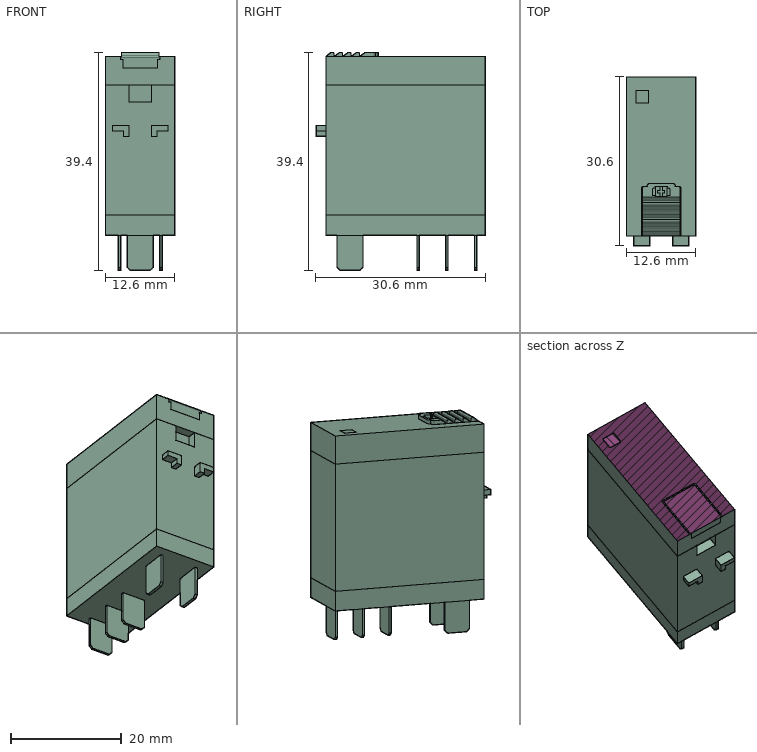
import cadquery as cq
import math


CASE_WIDTH = 12.6
CASE_DEPTH = 28.85
CASE_HEIGHT = 32.43
BASE_HEIGHT = 3.65
CAP_HEIGHT = 5.2
CAP_BOTTOM = CASE_HEIGHT - CAP_HEIGHT

OVERALL_DEPTH = 30.6
POCKET_WIDTH = 4.1
POCKET_HEIGHT = 3.08
POCKET_DEPTH = 1.75
TAB_TOP = 19.92
TAB_WIDTH = 2.95
TAB_HEIGHT = 1.97
TAB_THICKNESS = 1.0
TAB_LENGTH = OVERALL_DEPTH - CASE_DEPTH

INDICATOR_SIZE = 2.25
INDICATOR_X = -3.45
INDICATOR_Y = 25.25
INDICATOR_DEPTH = 0.55

RAIL_WIDTH = 7.18
RAIL_THICKNESS = 0.55
RAIL_BOTTOM = CASE_HEIGHT - RAIL_THICKNESS
RAIL_ROUND = 0.25
RAIL_DEPTH = 8.95
FLAP_WIDTH = 6.3
FLAP_HEIGHT = 1.55
GRIP_WIDTH = 6.85
GRIP_HEIGHT = 0.7
GRIP_TOP = CASE_HEIGHT + GRIP_HEIGHT
GRIP_CORNER_ROUND = 0.28
TONGUE_ROOT_WIDTH = 5.2
TONGUE_TIP_WIDTH = 4.9
TONGUE_LENGTH = 0.55
TONGUE_CORNER_ROUND = 0.4
SLIDER_DEPTH = RAIL_DEPTH + TONGUE_LENGTH
FRONT_ROUND = 0.4

RIB_COUNT = 4
RIB_PITCH = 1.55
RIB_SLOPE_TOP = 0.9
RIB_BACK = 1.45
RIB_SLOPE_ANGLE = 38
RIB_BACK_ROUND = 0.25
RIB_CREST_ROUND = 0.2
VALLEY_ROUND = 0.15

PAD_DEPTH = 0.65
PAD_FRONT = 7.18
PAD_LENGTH = 1.8
PAD_WIDTH = 2.15
WELL_DEPTH = 0.95
WELL_SPAN = 3.25
WELL_FRONT = 7.38
WELL_LENGTH = 1.35
WELL_CORNER_ROUND = 0.4
CROSS_Y = 8.05
CROSS_SPAN = 1.25
CROSS_ARM = 0.4

TERMINAL_LENGTH = 6.3
TERMINAL_CHAMFER = 0.55
COIL_WIDTH = 4.75
COIL_THICKNESS = 0.5
COIL_X = 3.75
COIL_Y = 4.35
CONTACT_WIDTH = 4.75
CONTACT_THICKNESS = 0.45
CONTACT_COUNT = 3
CONTACT_PITCH = 5.2
LAST_CONTACT_INSET = 1.75
LAST_CONTACT_Y = CASE_DEPTH - LAST_CONTACT_INSET


def block(width, depth, height, y_front, z_bottom, x_centre=0.0):
    """Box centred on x_centre, with its front and bottom faces at the given places."""
    centred = (True, False, False)
    return cq.Workplane("XY").box(width, depth, height, centered=centred).translate(
        (x_centre, y_front, z_bottom)
    )


def make_base():
    return block(CASE_WIDTH, CASE_DEPTH, BASE_HEIGHT, 0, 0)


def hook_tab(side):
    """L-shaped tab on the housing front; side is -1 or 1 along X."""
    inner = POCKET_WIDTH / 2
    outer = inner + TAB_WIDTH
    leg = inner + TAB_THICKNESS
    arm_bottom = TAB_TOP - TAB_THICKNESS
    tab_bottom = TAB_TOP - TAB_HEIGHT
    outline = [
        (inner, TAB_TOP),
        (outer, TAB_TOP),
        (outer, arm_bottom),
        (leg, arm_bottom),
        (leg, tab_bottom),
        (inner, tab_bottom),
    ]
    points = [(side * x, z) for x, z in outline]
    return cq.Workplane("XZ").polyline(points).close().extrude(TAB_LENGTH)


def make_housing():
    housing = block(CASE_WIDTH, CASE_DEPTH, CAP_BOTTOM - BASE_HEIGHT, 0, BASE_HEIGHT)
    pocket = block(POCKET_WIDTH, POCKET_DEPTH, POCKET_HEIGHT, 0, CAP_BOTTOM - POCKET_HEIGHT)
    housing = housing.cut(pocket)
    for side in (-1, 1):
        housing = housing.union(hook_tab(side))
    return housing


def make_indicator():
    return block(
        INDICATOR_SIZE,
        INDICATOR_SIZE,
        INDICATOR_DEPTH,
        INDICATOR_Y - INDICATOR_SIZE / 2,
        CASE_HEIGHT - INDICATOR_DEPTH,
        INDICATOR_X,
    )


def rail_block():
    rail = block(RAIL_WIDTH, RAIL_DEPTH, RAIL_THICKNESS, 0, RAIL_BOTTOM)
    return rail.edges("|Z and >Y").fillet(GRIP_CORNER_ROUND)


def flap_block():
    return block(FLAP_WIDTH, RAIL_THICKNESS, FLAP_HEIGHT, 0, RAIL_BOTTOM - FLAP_HEIGHT)


def make_cap():
    cap = block(CASE_WIDTH, CASE_DEPTH, CAP_HEIGHT, 0, CAP_BOTTOM)
    for seat in (rail_block(), flap_block(), make_indicator()):
        cap = cap.cut(seat)
    return cap


def grip_plate():
    """Plain grip: a plate with rounded back corners and a narrower, tapered tongue behind it."""
    plate = block(GRIP_WIDTH, RAIL_DEPTH, GRIP_HEIGHT, 0, CASE_HEIGHT)
    plate = plate.edges("|Z and >Y").fillet(GRIP_CORNER_ROUND)
    tongue = (
        cq.Workplane("XY", origin=(0, 0, CASE_HEIGHT))
        .moveTo(-TONGUE_ROOT_WIDTH / 2, RAIL_DEPTH)
        .lineTo(-TONGUE_TIP_WIDTH / 2, SLIDER_DEPTH)
        .lineTo(TONGUE_TIP_WIDTH / 2, SLIDER_DEPTH)
        .lineTo(TONGUE_ROOT_WIDTH / 2, RAIL_DEPTH)
        .close()
        .extrude(GRIP_HEIGHT)
        .edges("|Z and >Y")
        .fillet(TONGUE_CORNER_ROUND)
    )
    return plate.union(tongue)


def slope_cutter(y_back, run):
    """Wedge that removes material above a rib slope, from its top at y_back forward by run."""
    drop = run * math.tan(math.radians(RIB_SLOPE_ANGLE))
    return (
        cq.Workplane("YZ", origin=(-RAIL_WIDTH / 2, 0, 0))
        .moveTo(y_back, GRIP_TOP)
        .lineTo(y_back - run, GRIP_TOP)
        .lineTo(y_back - run, GRIP_TOP - drop)
        .close()
        .extrude(RAIL_WIDTH)
    )


def round_edge(bar, y, z, radius):
    """Rounds the edge of the bar that runs along X at the given place."""
    return bar.edges(cq.NearestToPointSelector((0, y, z))).fillet(radius)


def ribbed_bar():
    """Bar across the full rail width that carries the side profile of the rail and its ribs."""
    bar = block(RAIL_WIDTH, SLIDER_DEPTH, RAIL_THICKNESS + GRIP_HEIGHT, 0, RAIL_BOTTOM)
    bar = bar.cut(slope_cutter(RIB_SLOPE_TOP, RIB_SLOPE_TOP))
    front_edge_z = GRIP_TOP - RIB_SLOPE_TOP * math.tan(math.radians(RIB_SLOPE_ANGLE))
    bar = round_edge(bar, 0, front_edge_z, FRONT_ROUND)
    bar = round_edge(bar, RIB_SLOPE_TOP, GRIP_TOP, RIB_CREST_ROUND)

    for rib in range(RIB_COUNT):
        rib_back = RIB_BACK + rib * RIB_PITCH
        next_slope_top = RIB_SLOPE_TOP + (rib + 1) * RIB_PITCH
        groove = slope_cutter(next_slope_top, next_slope_top - rib_back)
        bar = bar.cut(groove.edges("|X and <Z").fillet(VALLEY_ROUND))
        bar = round_edge(bar, rib_back, GRIP_TOP, RIB_BACK_ROUND)
        bar = round_edge(bar, next_slope_top, GRIP_TOP, RIB_CREST_ROUND)
    return bar


def marked_recess():
    """Cutter for the recess in the grip: a flat pad with a sunken cross, and a deeper well on each side."""
    pad = block(PAD_WIDTH, PAD_LENGTH, PAD_DEPTH, PAD_FRONT, GRIP_TOP - PAD_DEPTH)
    floor = GRIP_TOP - WELL_DEPTH
    well_width = (WELL_SPAN - PAD_WIDTH) / 2
    well_x = (WELL_SPAN + PAD_WIDTH) / 4
    for side in (-1, 1):
        well = block(well_width, WELL_LENGTH, WELL_DEPTH, WELL_FRONT, floor, side * well_x)
        outer_back_edge = ("|Z and >Y and <X", "|Z and >Y and >X")[side > 0]
        pad = pad.union(well.edges(outer_back_edge).fillet(WELL_CORNER_ROUND))
    long_arm = block(CROSS_ARM, PAD_LENGTH, WELL_DEPTH, PAD_FRONT, floor)
    short_arm = block(CROSS_SPAN, CROSS_ARM, WELL_DEPTH, CROSS_Y - CROSS_ARM / 2, floor)
    return pad.union(long_arm).union(short_arm)


def make_slider():
    rail = rail_block().edges("<Z").edges("|Y").fillet(RAIL_ROUND)
    slider = ribbed_bar().intersect(rail.union(grip_plate()))
    return slider.union(flap_block()).cut(marked_recess())


def blade(thickness, width):
    """Flat blade hanging from the base, thin along X, with its two lower corners cut off."""
    plate = cq.Workplane("XY").box(thickness, width, TERMINAL_LENGTH)
    plate = plate.edges("|X and <Z").chamfer(TERMINAL_CHAMFER)
    return plate.translate((0, 0, -TERMINAL_LENGTH / 2))


def coil_terminal(side):
    return blade(COIL_THICKNESS, COIL_WIDTH).translate((side * COIL_X, COIL_Y, 0))


def contact_terminal(y_centre):
    crosswise = blade(CONTACT_THICKNESS, CONTACT_WIDTH).rotate((0, 0, 0), (0, 0, 1), 90)
    return crosswise.translate((0, y_centre, 0))


base = make_base()
housing = make_housing()
cap = make_cap()
indicator = make_indicator()
slider = make_slider()
coil_terminals = [coil_terminal(side) for side in (-1, 1)]
contact_terminals = [contact_terminal(LAST_CONTACT_Y - i * CONTACT_PITCH) for i in range(CONTACT_COUNT)]

bodies = [base, housing, cap, indicator, slider, *coil_terminals, *contact_terminals]
result = cq.Compound.makeCompound([body.val() for body in bodies])